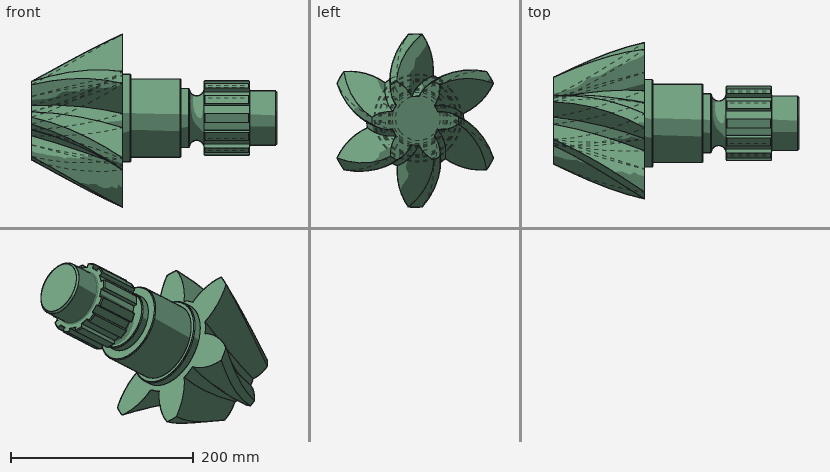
import cadquery as cq
import math

HEAD_LENGTH = 100.0
TOOTH_COUNT = 6
TOOTH_PITCH = 360.0 / TOOTH_COUNT
LARGE_TIP_RADIUS = 94.965
LARGE_FLANK_RADIUS = 75.1
LARGE_ROOT_RADIUS = 53.2
TIP_HALF_ANGLE = 4.57
FLANK_HALF_ANGLE = 13.6
ROOT_HALF_ANGLE = 8.3
SMALL_END_SCALE = 0.5
HEAD_TWIST = 30.0
SPAN_COUNT = 4

SHAFT_OFFSET_Y = -2.9
SHAFT_OFFSET_Z = 2.86
FLANGE_RADIUS = 96.0 / 2
BODY_RADIUS = 86.0 / 2
NECK_RADIUS = 65.0 / 2
JOURNAL_RADIUS = 60.0 / 2
FLANGE_END = 109.0
BODY_END = 164.0
NECK_END = 173.0
SPLINE_START = 189.0
SPLINE_END = 239.0
SHAFT_END = 269.09
EDGE_CHAMFER = 1.0
SPLINE_CHAMFER = 1.2
JOURNAL_CHAMFER = 2.0
JOURNAL_FILLET = 1.0

GROOVE_RADIUS = (SPLINE_START - NECK_END) / 2
GROOVE_CENTER = (SPLINE_START + NECK_END) / 2

SPLINE_TEETH = 12
SPLINE_TIP_RADIUS = 41.0
SPLINE_ROOT_RADIUS = 36.0
SPLINE_TOOTH_WIDTH = 10.0


def polar(radius, angle):
    """Point in a YZ section, the angle measured from +Y towards +Z."""
    return (radius * math.cos(math.radians(angle)), radius * math.sin(math.radians(angle)))


def head_section(fraction):
    """Star-shaped tooth outline at a fraction of the head length, as a wire."""
    scale = SMALL_END_SCALE + (1 - SMALL_END_SCALE) * fraction
    tip = LARGE_TIP_RADIUS * scale
    flank = LARGE_FLANK_RADIUS * scale
    root = LARGE_ROOT_RADIUS * scale
    tooth_foot = TOOTH_PITCH / 2 - ROOT_HALF_ANGLE
    turn = HEAD_TWIST * fraction

    outline = cq.Workplane("YZ", origin=(HEAD_LENGTH * fraction, 0, 0))
    outline = outline.moveTo(*polar(root, turn - tooth_foot))
    for index in range(TOOTH_COUNT):
        center = turn + index * TOOTH_PITCH
        outline = (
            outline
            .threePointArc(polar(flank, center - FLANK_HALF_ANGLE), polar(tip, center - TIP_HALF_ANGLE))
            .threePointArc(polar(tip, center), polar(tip, center + TIP_HALF_ANGLE))
            .threePointArc(polar(flank, center + FLANK_HALF_ANGLE), polar(root, center + tooth_foot))
            .threePointArc(
                polar(root, center + TOOTH_PITCH / 2),
                polar(root, center + TOOTH_PITCH - tooth_foot),
            )
        )
    return outline.close().val()


def pinion_head():
    sections = [head_section(index / SPAN_COUNT) for index in range(SPAN_COUNT + 1)]
    return cq.Workplane(cq.Solid.makeLoft(sections))


def turned(profile):
    """Revolve a closed (x, radius) profile about the X axis."""
    return profile.close().revolve(360, (0, 0, 0), (1, 0, 0))


def shaft_core():
    groove_bottom = (GROOVE_CENTER, NECK_RADIUS - GROOVE_RADIUS)
    groove_dx = math.sqrt(GROOVE_RADIUS**2 - EDGE_CHAMFER**2)
    fillet_mid = JOURNAL_FILLET * (1 - math.sqrt(0.5))
    profile = (
        cq.Workplane("XY")
        .moveTo(HEAD_LENGTH, 0)
        .lineTo(HEAD_LENGTH, FLANGE_RADIUS)
        .lineTo(FLANGE_END - EDGE_CHAMFER, FLANGE_RADIUS)
        .lineTo(FLANGE_END, FLANGE_RADIUS - EDGE_CHAMFER)
        .lineTo(FLANGE_END, BODY_RADIUS)
        .lineTo(BODY_END - EDGE_CHAMFER, BODY_RADIUS)
        .lineTo(BODY_END, BODY_RADIUS - EDGE_CHAMFER)
        .lineTo(BODY_END, NECK_RADIUS)
        .lineTo(NECK_END - EDGE_CHAMFER, NECK_RADIUS)
        .lineTo(GROOVE_CENTER - groove_dx, NECK_RADIUS - EDGE_CHAMFER)
        .threePointArc(groove_bottom, (SPLINE_START, NECK_RADIUS))
        .lineTo(SPLINE_START, SPLINE_ROOT_RADIUS)
        .lineTo(SPLINE_END, SPLINE_ROOT_RADIUS)
        .lineTo(SPLINE_END, JOURNAL_RADIUS + JOURNAL_FILLET)
        .threePointArc(
            (SPLINE_END + fillet_mid, JOURNAL_RADIUS + fillet_mid),
            (SPLINE_END + JOURNAL_FILLET, JOURNAL_RADIUS),
        )
        .lineTo(SHAFT_END - JOURNAL_CHAMFER, JOURNAL_RADIUS)
        .lineTo(SHAFT_END, JOURNAL_RADIUS - JOURNAL_CHAMFER)
        .lineTo(SHAFT_END, 0)
    )
    return turned(profile)


def spline_teeth():
    """Straight teeth trimmed by a cylinder that is chamfered at both ends."""
    length = SPLINE_END - SPLINE_START
    start_plane = cq.Workplane("YZ", origin=(SPLINE_START, 0, 0))
    opposite_pair = start_plane.rect(2 * SPLINE_TIP_RADIUS, SPLINE_TOOTH_WIDTH).extrude(length)
    pitch_angle = 360.0 / SPLINE_TEETH
    teeth = opposite_pair
    for index in range(1, SPLINE_TEETH // 2):
        teeth = teeth.union(opposite_pair.rotate((0, 0, 0), (1, 0, 0), index * pitch_angle))
    envelope = start_plane.circle(SPLINE_TIP_RADIUS).extrude(length)
    core = start_plane.circle(NECK_RADIUS).extrude(length)
    return teeth.intersect(envelope.edges().chamfer(SPLINE_CHAMFER)).cut(core)


shaft = shaft_core().union(spline_teeth()).translate((0, SHAFT_OFFSET_Y, SHAFT_OFFSET_Z))
result = pinion_head().union(shaft)